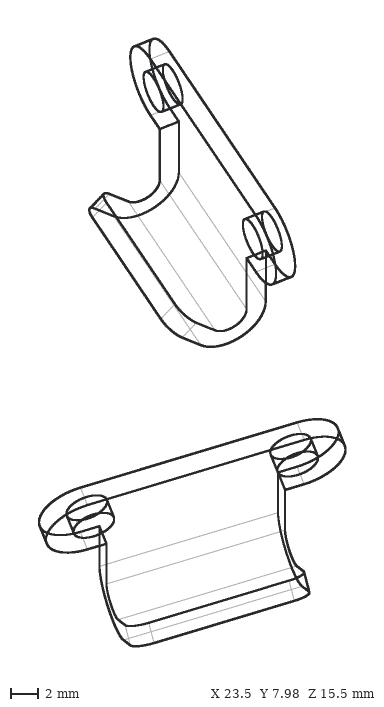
import cadquery as cq
import math

plate_length = 23.5
plate_height = 6.5
thickness = 1.6
total_height = 15.5
hole_diameter = 3.2
hole_spacing = 15.98
hook_width = 14.0
bend_inner_radius = 1.5
arm_angle = math.radians(48)
arm_length = 3.85
tip_radius = 1.5

bend_outer_radius = bend_inner_radius + thickness
plate_center_z = total_height - plate_height / 2


def bend_point(radius, angle):
    """(Y, Z) point on a circle about the bend axis; angle 0 faces -Y, 90 degrees faces up."""
    return (
        -bend_outer_radius - radius * math.cos(angle),
        bend_outer_radius + radius * math.sin(angle),
    )


def along_arm(point):
    """(Y, Z) point moved from the end of the bend to the tip of the arm."""
    y, z = point
    return (y - arm_length * math.cos(arm_angle), z + arm_length * math.sin(arm_angle))


def make_plate():
    """Round-ended mounting plate."""
    return (
        cq.Workplane("XZ", origin=(0, 0, plate_center_z))
        .slot2D(plate_length, plate_height)
        .extrude(thickness)
    )


def make_screw_holes():
    """Cylinders to be removed for the two screw holes."""
    return (
        cq.Workplane("XZ", origin=(0, 0, plate_center_z))
        .pushPoints([(-hole_spacing / 2, 0), (hole_spacing / 2, 0)])
        .circle(hole_diameter / 2)
        .extrude(thickness)
    )


def make_hook():
    """Bent strip hanging from the plate, with rounded corners at its tip."""
    bend_end = arm_angle - math.pi / 2
    bend_middle = (bend_end - math.pi) / 2
    outer_end = bend_point(bend_outer_radius, bend_end)
    inner_end = bend_point(bend_inner_radius, bend_end)
    outer_tip = along_arm(outer_end)
    inner_tip = along_arm(inner_end)

    strip = (
        cq.Workplane("YZ")
        .moveTo(0, plate_center_z)
        .lineTo(0, bend_outer_radius)
        .threePointArc(bend_point(bend_outer_radius, bend_middle), outer_end)
        .lineTo(*outer_tip)
        .lineTo(*inner_tip)
        .lineTo(*inner_end)
        .threePointArc(bend_point(bend_inner_radius, bend_middle), (-thickness, bend_outer_radius))
        .lineTo(-thickness, plate_center_z)
        .close()
        .extrude(hook_width / 2, both=True)
    )
    across_arm = cq.Vector(0, math.sin(arm_angle), math.cos(arm_angle))
    tip_edges = cq.selectors.ParallelDirSelector(across_arm)
    return strip.edges(tip_edges).edges("<Y").fillet(tip_radius)


result = make_plate().union(make_hook()).cut(make_screw_holes())